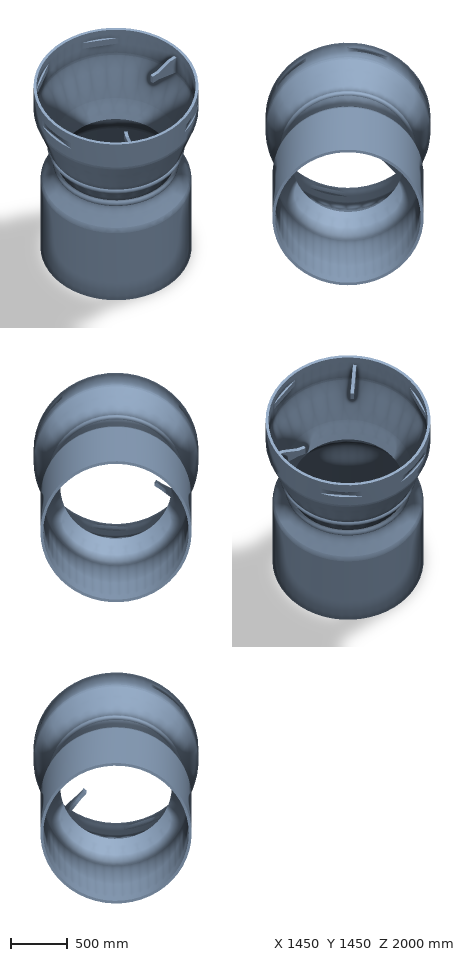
import cadquery as cq
import math

height = 2000.0
collar_radius = 1450.0 / 2
collar_bore_radius = 1400 / 2
wall = collar_radius - collar_bore_radius
pipe_radius = 1330.0 / 2
collar_corner_z = 1698.0
pipe_corner_z = 862.0
waist_radius = 525.0
waist_z = 1098.0
throat_radius = 980 / 2
bore_crease_radius = 562.0
bore_crease_z = 1288.0
outer_bend_radius = 100.0
inner_bend_radius = outer_bend_radius - wall

bead_tube_radius = 30.0
upper_bead_radius, upper_bead_z = 575.0, 1282.0
lower_bead_radius, lower_bead_z = 525.0, 1075.0

plate_angles = (0, 120, 180, 240)
plate_inner = 680.0
plate_thickness = 20.0
plate_height = 70.0
plate_top_z = height - 100.0
plate_outer = plate_inner + plate_thickness
plate_width = 2 * math.sqrt(collar_radius**2 - plate_outer**2)

fin_angles = (60, -60)
fin_thickness = 30.0
fin_tip_radius = 420.0
fin_flat = 70.0
fin_top_z = plate_top_z
fin_tip_top_z = 1848.0
fin_tip_bottom_z = 1768.0
fin_root_bottom_z = 1715.0


def revolve_profile(points, bend_radius):
    """Turn a profile about Z and round its pipe and collar bends."""
    solid = cq.Workplane("XZ").polyline(points).close().revolve(360, (0, 0, 0), (0, 1, 0))
    pipe_bend, collar_bend = points[2], points[-3]
    for radius, z in (pipe_bend, collar_bend):
        margin = 2.0
        bend_edge = cq.selectors.BoxSelector(
            (-radius - margin, -radius - margin, z - margin),
            (radius + margin, radius + margin, z + margin),
            boundingbox=True,
        )
        solid = solid.edges(bend_edge).fillet(bend_radius)
    return solid


def make_bead(radius, z):
    """Ring whose round section is cut off by a chord hidden inside the wall."""
    chord_offset = bead_tube_radius * math.sin(math.radians(45))
    return (
        cq.Workplane("XZ")
        .moveTo(radius - chord_offset, z - chord_offset)
        .threePointArc((radius + bead_tube_radius, z), (radius - chord_offset, z + chord_offset))
        .close()
        .revolve(360, (0, 0, 0), (0, 1, 0))
    )


def make_bore():
    """Inside of the housing, offset from the outer walls by the wall thickness."""
    collar_slope = math.atan2(collar_radius - waist_radius, collar_corner_z - waist_z)
    pipe_slope = math.atan2(pipe_radius - waist_radius, waist_z - pipe_corner_z)
    return revolve_profile(
        [
            (0, 0),
            (pipe_radius - wall, 0),
            (pipe_radius - wall, pipe_corner_z - wall * math.tan(pipe_slope / 2)),
            (throat_radius, waist_z),
            (bore_crease_radius, bore_crease_z),
            (collar_bore_radius, collar_corner_z + wall * math.tan(collar_slope / 2)),
            (collar_bore_radius, height),
            (0, height),
        ],
        inner_bend_radius,
    )


def radial_block(inner, outer, angle):
    """Block of plate width and height between two distances from the axis."""
    return (
        cq.Workplane("XY")
        .box(outer - inner, plate_width, plate_height, centered=(False, True, False))
        .translate((inner, 0, plate_top_z - plate_height))
        .rotate((0, 0, 0), (0, 0, 1), angle)
    )


def make_housing():
    shell = revolve_profile(
        [
            (0, 0),
            (pipe_radius, 0),
            (pipe_radius, pipe_corner_z),
            (waist_radius, waist_z),
            (collar_radius, collar_corner_z),
            (collar_radius, height),
            (0, height),
        ],
        outer_bend_radius,
    )
    shell = shell.union(make_bead(upper_bead_radius, upper_bead_z))
    shell = shell.union(make_bead(lower_bead_radius, lower_bead_z))
    shell = shell.cut(make_bore())
    window_outer = collar_radius + wall
    for angle in plate_angles:
        shell = shell.cut(radial_block(plate_inner, window_outer, angle))
    return shell


def make_plate(angle):
    return radial_block(plate_inner, plate_outer, angle)


def make_fin(angle):
    """Fin with a stepped-down tip; its root is curved to fit the collar bore."""
    blank = (
        cq.Workplane("XZ")
        .polyline([
            (fin_tip_radius, fin_tip_bottom_z),
            (fin_tip_radius + fin_flat, fin_tip_bottom_z),
            (collar_bore_radius, fin_root_bottom_z),
            (collar_bore_radius, fin_top_z),
            (collar_bore_radius - fin_flat, fin_top_z),
            (fin_tip_radius + fin_flat, fin_tip_top_z),
            (fin_tip_radius, fin_tip_top_z),
        ])
        .close()
        .extrude(fin_thickness / 2, both=True)
    )
    bore_space = cq.Workplane("XY").circle(collar_bore_radius).extrude(height)
    return blank.intersect(bore_space).rotate((0, 0, 0), (0, 0, 1), angle)


housing = make_housing()
plates = [make_plate(angle) for angle in plate_angles]
fins = [make_fin(angle) for angle in fin_angles]

result = cq.Compound.makeCompound(
    [housing.solids().val()]
    + [plate.solids().val() for plate in plates]
    + [fin.solids().val() for fin in fins]
)